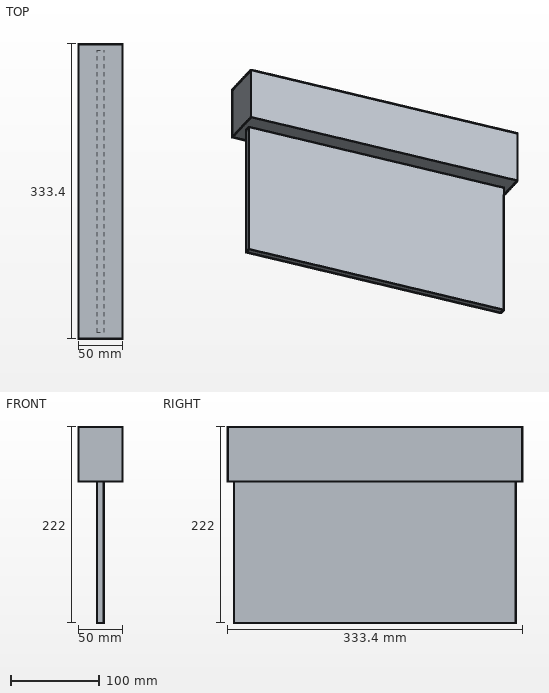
import cadquery as cq

housing_width = 50.0
housing_length = 333.4
housing_height = 62.0

panel_thickness = 8.0
panel_end_inset = 7.2
panel_length = housing_length - 2 * panel_end_inset
panel_drop = 160.0


def make_housing():
    """Rectangular bar standing on the Z = 0 plane."""
    return cq.Workplane("XY").box(
        housing_width, housing_length, housing_height, centered=(True, True, False)
    )


def make_panel():
    """Thin upright plate whose top edge touches the housing's underside."""
    return (
        cq.Workplane("XY")
        .workplane(offset=-panel_drop)
        .box(panel_thickness, panel_length, panel_drop, centered=(True, True, False))
    )


housing = make_housing()
panel = make_panel()

result = cq.Compound.makeCompound([housing.val(), panel.val()])